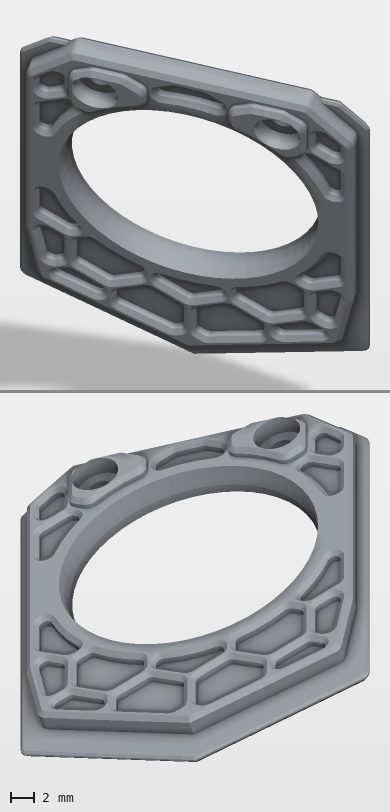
import cadquery as cq
import math


base_height = 0.8
panel_height = 2.5
boss_height = 3.3

bevel = 0.4
base_front_bevel = 0.2
round_small = 0.8
round_large = 1.0

base_half_width = 15.297
base_top = 15.25
base_corner_cut = 2.55
base_tip = -25.4
tip_slope = 0.4

panel_half_width = 14.32
panel_top = 16.0
panel_corner_cut = 4.0
panel_tip = -22.2
panel_bend = -10.45
panel_foot_half_width = 13.25

opening_radius = 10.95
opening_mouth_radius = 11.4

cell_pitch = 7.0
cell_wall = 0.2
cell_ring_radius = 12.5
cell_side_margin = 0.65
cell_top_margin = 0.75
pocket_depth = 1.0

screw_x = 8.0
screw_z = 12.7
screw_diameter = 2.0
counterbore_diameter = 4.1
counterbore_depth = 1.65

row_pitch = cell_pitch * math.sqrt(3) / 2
boss_cells = [(-2, 2), (2, 2)]
pocket_cells = [
    (-4, 2), (0, 2), (4, 2),
    (-3, 1), (3, 1),
    (-3, -1), (3, -1),
    (-4, -2), (-2, -2), (0, -2), (2, -2), (4, -2),
    (-3, -3), (-1, -3), (1, -3), (3, -3),
]


def prism(points, start, end):
    """Solid with the given XZ outline between two distances in front of the back."""
    return cq.Workplane("XZ", origin=(0, -start, 0)).polyline(points).close().extrude(end - start)


def symmetric_outline(right_half):
    """Complete an outline from its right half, listed from the top edge down to the tip."""
    left_half = [(-x, z) for x, z in reversed(right_half[:-1])]
    return right_half + left_half


def round_corners(solid, x, z, radius):
    """Round the front-to-back edges of a solid at (x, z) and (-x, z)."""
    reach = 0.2
    for side_x in (-x, x):
        around = cq.selectors.BoxSelector(
            (side_x - reach, -boss_height, z - reach),
            (side_x + reach, boss_height, z + reach),
        )
        solid = solid.edges("|Y").edges(around).fillet(radius)
    return solid


def make_base():
    """Thin flange with a wide bevel behind and a narrow one in front."""
    shoulder_x = base_half_width - base_corner_cut
    shoulder_z = base_top - base_corner_cut
    foot_z = base_tip + tip_slope * base_half_width
    outline = symmetric_outline([
        (shoulder_x, base_top),
        (base_half_width, shoulder_z),
        (base_half_width, foot_z),
        (0, base_tip),
    ])
    base = prism(outline, 0, base_height)
    base = round_corners(base, shoulder_x, base_top, round_small)
    base = round_corners(base, base_half_width, shoulder_z, round_small)
    base = round_corners(base, base_half_width, foot_z, round_small)
    return base.faces(">Y").chamfer(bevel).faces("<Y").chamfer(base_front_bevel)


panel_shoulder_x = panel_half_width - panel_corner_cut
panel_shoulder_z = panel_top - panel_corner_cut
panel_foot_z = panel_tip + tip_slope * panel_foot_half_width
panel_outline = symmetric_outline([
    (panel_shoulder_x, panel_top),
    (panel_half_width, panel_shoulder_z),
    (panel_half_width, panel_bend),
    (panel_foot_half_width, panel_foot_z),
    (0, panel_tip),
])


def make_panel():
    """Raised panel running from the back to its front face, beveled on both."""
    panel = prism(panel_outline, 0, panel_height)
    panel = round_corners(panel, panel_shoulder_x, panel_top, round_small)
    panel = round_corners(panel, panel_half_width, panel_shoulder_z, round_large)
    panel = round_corners(panel, panel_foot_half_width, panel_foot_z, round_large)
    return panel.faces("<Y or >Y").chamfer(bevel)


def make_cell(cell, start, end, shrink=0.0):
    """Rounded honeycomb cell between two distances in front of the back.

    It is trimmed by the ring around the opening and by the margins along the panel's edge.
    """
    column, row = cell
    plane = cq.Workplane("XZ", origin=(0, -start, 0))
    height = end - start
    hexagon = (
        plane.center(column * cell_pitch / 2, row * row_pitch)
        .polygon(6, cell_pitch - cell_wall - 2 * round_large, circumscribed=True)
        .extrude(height)
    )
    margin = (
        plane.polyline(panel_outline).close()
        .offset2D(-cell_side_margin - round_large, "intersection")
        .extrude(height)
    )
    top_limit = panel_top - cell_top_margin - round_large
    headroom_height = 4 * panel_top
    headroom = (
        plane.center(0, top_limit - headroom_height / 2)
        .rect(2 * panel_half_width, headroom_height)
        .extrude(height)
    )
    ring = plane.circle(cell_ring_radius + round_large).extrude(height)
    core = hexagon.intersect(margin).intersect(headroom).cut(ring)
    outline = core.faces(">Y").wires().val()
    return plane.add(outline).toPending().offset2D(round_large - shrink, "arc").extrude(height)


def make_pocket(cell):
    """Pocket with upright lower walls and a beveled rim."""
    floor = panel_height - pocket_depth
    well = make_cell(cell, floor, panel_height, shrink=bevel)
    rim = make_cell(cell, panel_height - bevel, panel_height + bevel).faces(">Y").chamfer(bevel)
    return well.union(rim)


def make_boss(cell):
    """Beveled honeycomb cell standing out of the panel."""
    return make_cell(cell, panel_height - bevel, boss_height).faces("<Y").chamfer(bevel)


def make_opening():
    """Round hole that widens from the base's front face to the panel's front face."""
    profile = [
        (0, 0),
        (opening_radius, 0),
        (opening_radius, -base_height),
        (opening_mouth_radius, -panel_height),
        (0, -panel_height),
    ]
    return cq.Workplane("XY").polyline(profile).close().revolve(360, (0, 0, 0), (0, 1, 0))


def make_screw_hole(x):
    """Through hole with a counterbore sunk from the boss face."""
    front = cq.Workplane("XZ", origin=(x, 0, screw_z))
    through = front.circle(screw_diameter / 2).extrude(boss_height)
    counterbore = (
        front.workplane(offset=boss_height - counterbore_depth)
        .circle(counterbore_diameter / 2)
        .extrude(counterbore_depth)
    )
    return through.union(counterbore)


result = make_base().union(make_panel())
for boss_cell in boss_cells:
    result = result.union(make_boss(boss_cell))
for pocket_cell in pocket_cells:
    result = result.cut(make_pocket(pocket_cell))
result = result.cut(make_opening())
for hole_x in (-screw_x, screw_x):
    result = result.cut(make_screw_hole(hole_x))